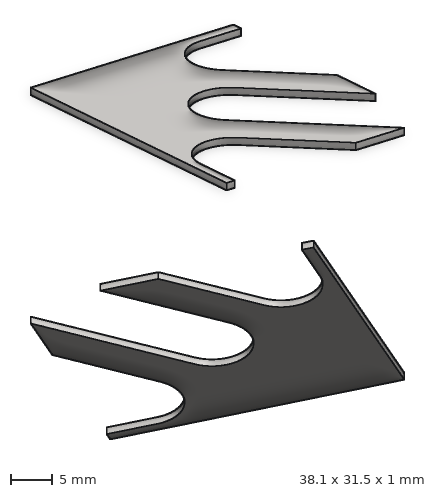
import cadquery as cq
import math

length = 38.1
width = 31.5
thickness = 1.0

notch_radius = 5.05
notch_step_x = 12.45
notch_step_y = 9.4
finger_angle = 45.0
wall_reach = 2 * length


def offset_point(start, distance, angle):
    """Point at a distance from start, in the direction of angle (degrees)."""
    radians = math.radians(angle)
    return (start[0] + distance * math.cos(radians), start[1] + distance * math.sin(radians))


def notch(center, right_wall_angle, left_wall_angle):
    """Cutter with a round bottom and two straight walls tangent to it."""
    right_tangent = offset_point(center, notch_radius, right_wall_angle - 90)
    left_tangent = offset_point(center, notch_radius, left_wall_angle + 90)
    middle_angle = (right_wall_angle + left_wall_angle) / 2
    bottom = offset_point(center, notch_radius, middle_angle + 180)
    return (
        cq.Workplane("XY")
        .moveTo(*right_tangent)
        .lineTo(*offset_point(right_tangent, wall_reach, right_wall_angle))
        .lineTo(*offset_point(left_tangent, wall_reach, left_wall_angle))
        .lineTo(*left_tangent)
        .threePointArc(bottom, right_tangent)
        .close()
        .extrude(thickness)
    )


middle_x = length / 2
middle_y = width / 2
upper_center = (middle_x - notch_step_x, middle_y + notch_step_y)
middle_center = (middle_x, middle_y)
lower_center = (middle_x + notch_step_x, middle_y - notch_step_y)

result = cq.Workplane("XY").box(length, width, thickness, centered=False)

result = result.cut(notch(upper_center, finger_angle, 90))
result = result.cut(notch(middle_center, finger_angle, finger_angle))
result = result.cut(notch(lower_center, 0, finger_angle))